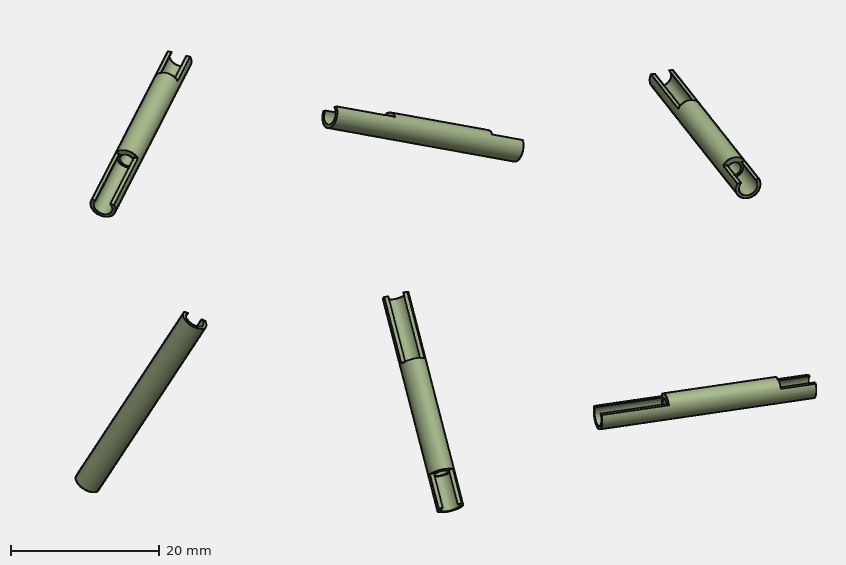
import cadquery as cq

length = 30.6
outer_radius = 1.8
bore_radius = 1.0
trough_radius = 1.35
rim_height = 0.85
front_trough_length = 9.6
back_trough_length = 5.0

front_y = -length / 2
back_y = length / 2


def cylinder_along_y(radius, start_y, cylinder_length):
    """Solid cylinder on the Y axis, running toward +Y from start_y."""
    return cq.Workplane(
        cq.Solid.makeCylinder(radius, cylinder_length, cq.Vector(0, start_y, 0), cq.Vector(0, 1, 0))
    )


def trough_cutter(start_y, trough_length):
    """Wider bore plus everything above the rims, over one end of the tube."""
    wide_bore = cylinder_along_y(trough_radius, start_y, trough_length)
    above_rims = (
        cq.Workplane("XY")
        .box(2 * outer_radius, trough_length, outer_radius, centered=(True, False, False))
        .translate((0, start_y, rim_height))
    )
    return wide_bore.union(above_rims)


tube = cylinder_along_y(outer_radius, front_y, length)
tube = tube.cut(cylinder_along_y(bore_radius, front_y, length))

tube = tube.cut(trough_cutter(front_y, front_trough_length))
result = tube.cut(trough_cutter(back_y - back_trough_length, back_trough_length))